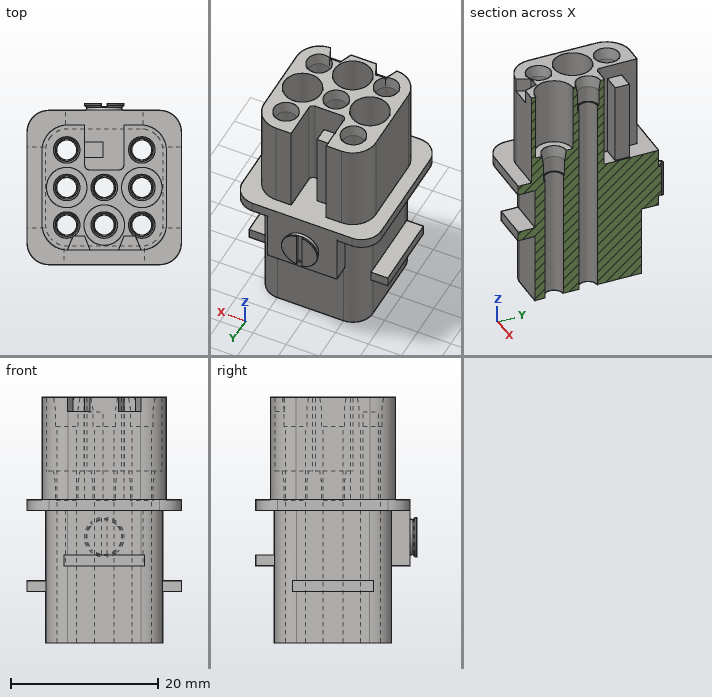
import cadquery as cq

total_height = 33.4
flange_bottom = 18.0
flange_thickness = 1.5
flange_top = flange_bottom + flange_thickness

flange_size = 21.0
flange_radius = 3.0
lower_size = 15.95
lower_radius = 3.0
upper_width = 16.9
upper_depth = 17.0
upper_radius = 3.5

rib_length = 11.0
rib_height = 1.5
side_rib_bottom = 7.0
front_rib_bottom = 10.5

block_width = 10.5
block_bottom = front_rib_bottom

screw_height = 14.4
screw_projection = 0.9
screw_root_radius = 2.5
screw_waist_radius = 2.35
screw_head_radius = 2.7
screw_waist_offset = 0.35
screw_rim_thickness = 0.25
screw_slot_width = 0.8
screw_slot_depth = 0.4

hole_pitch = 5.1
through_diameter = 2.7
step_diameter = 3.1
step_depth = 4.0
mouth_diameter = 3.6
mouth_depth = 1.6
pocket_diameter = 5.5
pocket_depth = 10.0
plain_places = [(-1, -1), (1, -1), (0, 0), (-1, 1), (1, 1)]
pocket_places = [(-1, 0), (1, 0), (0, -1)]

notch_width = 5.3
notch_inner_y = 2.4
notch_corner_radius = 0.6
key_length = 2.5
key_width = 2.1
key_center_y = 5.15
key_top = total_height - 2.0

recess_center_x = 3.46
recess_outer_width = 3.1
recess_inner_width = 1.55
recess_length = 1.9
recess_depth = 1.95


def rounded_prism(width, depth, radius, bottom, top):
    """Rectangular prism with rounded vertical edges, centred on the Z axis."""
    prism = cq.Workplane("XY").workplane(offset=bottom).rect(width, depth).extrude(top - bottom)
    return prism.edges("|Z").fillet(radius)


def box_between(x_range, y_range, z_range):
    """Box spanning the given (low, high) limits."""
    lows, highs = zip(x_range, y_range, z_range)
    sizes = [high - low for low, high in zip(lows, highs)]
    return cq.Workplane("XY").box(*sizes, centered=False).translate(lows)


def cylinder_down(x, y, top, diameter, depth):
    """Cylinder hanging down from height top."""
    return cq.Workplane("XY").workplane(offset=top).center(x, y).circle(diameter / 2).extrude(-depth)


def tapered_mouth(x, y, top):
    """Cone narrowing downwards from the mouth to the step diameter."""
    mouth = cq.Workplane("XY").workplane(offset=top).center(x, y).circle(mouth_diameter / 2)
    return mouth.workplane(offset=-mouth_depth).circle(step_diameter / 2).loft(ruled=True)


def make_body():
    lower = rounded_prism(lower_size, lower_size, lower_radius, 0, flange_bottom)
    flange = rounded_prism(flange_size, flange_size, flange_radius, flange_bottom, flange_top)
    upper = rounded_prism(upper_width, upper_depth, upper_radius, flange_top, total_height)
    return lower.union(flange).union(upper)


def make_ribs():
    """One rib through the body along X, one on -Y and the block on +Y."""
    reach = flange_size / 2
    half = rib_length / 2
    side_ribs = box_between((-reach, reach), (-half, half), (side_rib_bottom, side_rib_bottom + rib_height))
    front_rib = box_between((-half, half), (-reach, 0), (front_rib_bottom, front_rib_bottom + rib_height))
    block = box_between((-block_width / 2, block_width / 2), (0, reach), (block_bottom, flange_bottom))
    return side_ribs.union(front_rib).union(block)


def make_screw():
    """Waisted screw head revolved about Y, with a vertical driver slot."""
    base = flange_size / 2
    end = base + screw_projection
    profile = [
        (0, 0),
        (0, end),
        (screw_head_radius, end),
        (screw_head_radius, end - screw_rim_thickness),
        (screw_waist_radius, base + screw_waist_offset),
        (screw_root_radius, base),
        (screw_root_radius, 0),
    ]
    screw = cq.Workplane("XY").polyline(profile).close().revolve(360, (0, 0, 0), (0, 1, 0))
    half_slot = screw_slot_width / 2
    slot = box_between(
        (-half_slot, half_slot), (end - screw_slot_depth, end), (-screw_head_radius, screw_head_radius)
    )
    return screw.cut(slot).translate((0, 0, screw_height))


def make_holes():
    holes = cq.Workplane("XY")
    for column, row in plain_places + pocket_places:
        x = column * hole_pitch
        y = row * hole_pitch
        if (column, row) in pocket_places:
            entry_top = total_height - pocket_depth
            holes = holes.union(cylinder_down(x, y, total_height, pocket_diameter, pocket_depth))
        else:
            entry_top = total_height
        holes = holes.union(tapered_mouth(x, y, entry_top))
        holes = holes.union(cylinder_down(x, y, entry_top, step_diameter, step_depth))
        holes = holes.union(cylinder_down(x, y, entry_top, through_diameter, entry_top))
    return holes


def make_notch():
    """Notch open to +Y and down to the flange, less the key left on its -X wall."""
    half = notch_width / 2
    notch = box_between((-half, half), (notch_inner_y, upper_depth / 2), (flange_top, total_height))
    notch = notch.edges("|Z and <Y").fillet(notch_corner_radius)
    key = box_between(
        (-half, key_length - half),
        (key_center_y - key_width / 2, key_center_y + key_width / 2),
        (flange_top, key_top),
    )
    return notch.cut(key)


def make_recess(center_x):
    outer_y = -upper_depth / 2
    inner_y = outer_y + recess_length
    outline = [
        (center_x - recess_outer_width / 2, outer_y),
        (center_x + recess_outer_width / 2, outer_y),
        (center_x + recess_inner_width / 2, inner_y),
        (center_x - recess_inner_width / 2, inner_y),
    ]
    top_plane = cq.Workplane("XY").workplane(offset=total_height)
    return top_plane.polyline(outline).close().extrude(-recess_depth)


result = make_body().union(make_ribs()).union(make_screw())
result = result.cut(make_holes()).cut(make_notch())
for recess_x in (-recess_center_x, recess_center_x):
    result = result.cut(make_recess(recess_x))